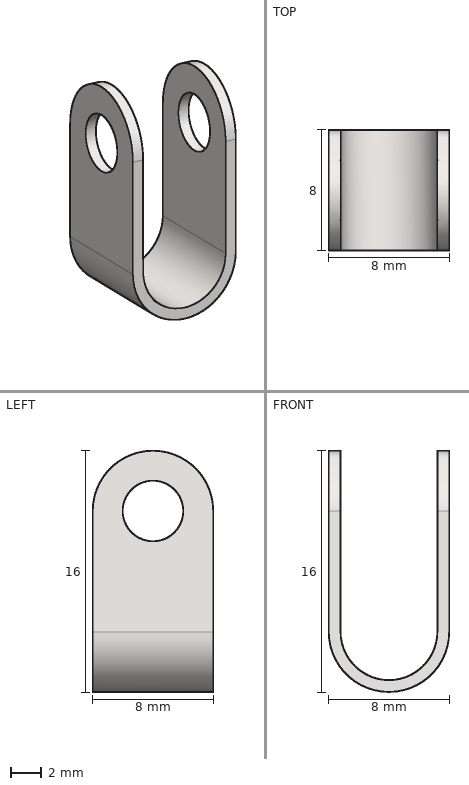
import cadquery as cq

height = 16.0
width = 8.0
depth = 8.0
wall = 0.8
hole_diameter = 4.0

bend_radius = width / 2
inner_radius = bend_radius - wall
tip_radius = depth / 2
bend_center_z = bend_radius
hole_center_z = height - tip_radius


def u_strip():
    """Strip bent into a U, open at the top and centred on Y = 0."""
    return (
        cq.Workplane("XZ")
        .moveTo(-bend_radius, height)
        .lineTo(-bend_radius, bend_center_z)
        .threePointArc((0, bend_center_z - bend_radius), (bend_radius, bend_center_z))
        .lineTo(bend_radius, height)
        .lineTo(inner_radius, height)
        .lineTo(inner_radius, bend_center_z)
        .threePointArc((0, bend_center_z - inner_radius), (-inner_radius, bend_center_z))
        .lineTo(-inner_radius, height)
        .close()
        .extrude(depth / 2, both=True)
    )


def side_outline():
    """Solid with the rounded leg outline, spanning both legs along X."""
    return (
        cq.Workplane("YZ")
        .moveTo(-tip_radius, 0)
        .lineTo(tip_radius, 0)
        .lineTo(tip_radius, hole_center_z)
        .threePointArc((0, height), (-tip_radius, hole_center_z))
        .close()
        .extrude(width / 2, both=True)
    )


def leg_holes():
    """Cylinder through both legs, concentric with their rounded tips."""
    return (
        cq.Workplane("YZ")
        .center(0, hole_center_z)
        .circle(hole_diameter / 2)
        .extrude(width / 2, both=True)
    )


result = u_strip().intersect(side_outline()).cut(leg_holes())